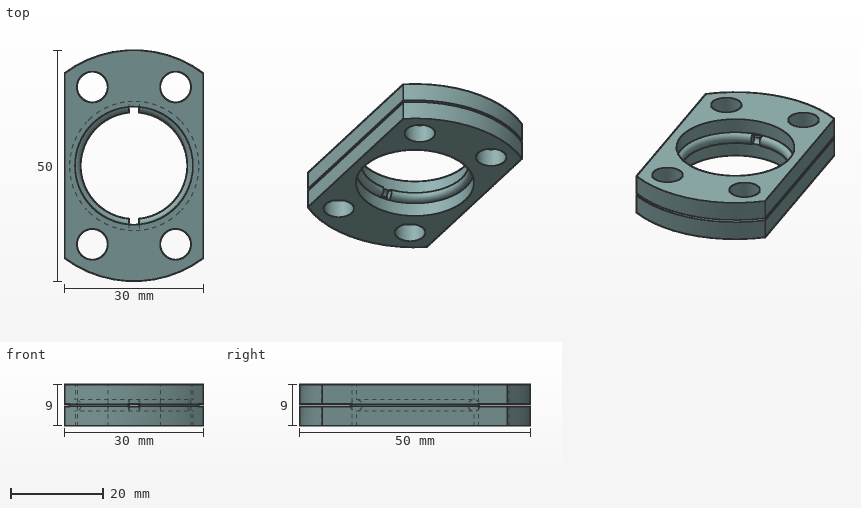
import cadquery as cq

length = 50.0
width = 30.0
height = 9.0
plate_gap = 0.5
plate_thickness = (height - plate_gap) / 2

bore_radius = 12.75
bolt_hole_diameter = 6.6
bolt_spacing_x = 18.0
bolt_spacing_y = 34.0

wire_radius = 1.25
split_angle = 10.0
half_ring_angle = 180.0 - split_angle


def make_plate(bottom_z):
    """Disc with two flat sides, a central bore and four bolt holes."""
    disc = cq.Workplane("XY").workplane(offset=bottom_z).circle(length / 2).extrude(plate_thickness)
    side_trim = cq.Workplane("XY").box(width, length, 2 * height)
    bore = cq.Workplane("XY").workplane(offset=-height).circle(bore_radius).extrude(2 * height)
    bolt_holes = (
        cq.Workplane("XY")
        .workplane(offset=-height)
        .rect(bolt_spacing_x, bolt_spacing_y, forConstruction=True)
        .vertices()
        .circle(bolt_hole_diameter / 2)
        .extrude(2 * height)
    )
    return disc.intersect(side_trim).cut(bore).cut(bolt_holes)


def make_wire(sweep_angle):
    """Round wire revolved about Z, starting at the +X axis."""
    return (
        cq.Workplane("XZ")
        .center(bore_radius, 0)
        .circle(wire_radius)
        .revolve(sweep_angle, (-bore_radius, 0), (-bore_radius, -1))
    )


lower_plate = make_plate(-height / 2)
upper_plate = make_plate(plate_gap / 2)
groove = make_wire(360.0)
result = lower_plate.union(upper_plate).cut(groove)

for centre_angle in (0, 180):
    half_ring = make_wire(half_ring_angle).rotate(
        (0, 0, 0), (0, 0, 1), centre_angle + half_ring_angle / 2
    )
    result = result.union(half_ring)